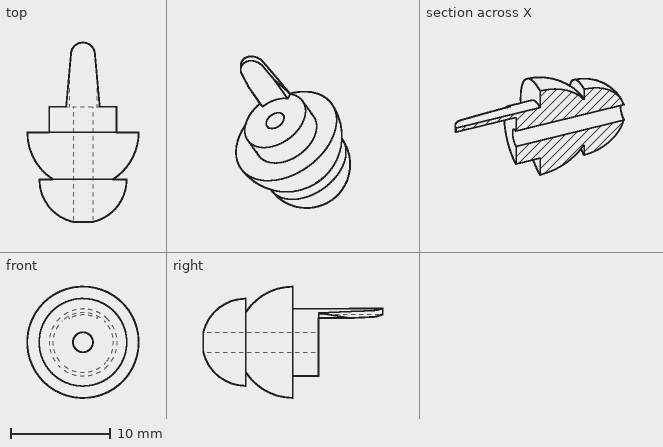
import cadquery as cq
import math

total_length = 18.06
large_radius = 5.62
small_radius = 4.4
dome_spacing = 4.73
bore_radius = 1.0
stem_radius = 3.4
stem_length = 2.58
tab_inner_radius = 2.8
tab_sector_angle = 60.0
tab_tip_half_width = 1.21
tab_tip_height = 1.12

nose_y = -total_length / 2
small_rim_y = nose_y + math.sqrt(small_radius**2 - bore_radius**2)
large_rim_y = small_rim_y + dome_spacing
stem_end_y = large_rim_y + stem_length
tip_y = total_length / 2

half_sector = math.radians(tab_sector_angle / 2)
tab_root_half_width = stem_radius * math.sin(half_sector)


def dome(radius, rim_y):
    """Hemisphere bulging toward -Y from a flat rim."""
    profile = (
        cq.Workplane("XY")
        .moveTo(0, rim_y)
        .lineTo(radius, rim_y)
        .radiusArc((0, rim_y - radius), radius)
        .close()
    )
    return profile.revolve(360, (0, 0, 0), (0, 1, 0))


def cylinder(radius, start_y, end_y):
    """Cylinder about the Y axis."""
    return cq.Workplane("XZ", origin=(0, start_y, 0)).circle(radius).extrude(start_y - end_y)


def tab():
    """Tapered, round-ended strip cut from the upper wall of a tube."""
    tube = cylinder(stem_radius, large_rim_y, tip_y).cut(
        cylinder(tab_inner_radius, large_rim_y, tip_y)
    )
    flank_end_y = tip_y - tab_tip_height
    outline = (
        cq.Workplane("XY")
        .moveTo(-tab_root_half_width, large_rim_y)
        .lineTo(-tab_root_half_width, stem_end_y)
        .lineTo(-tab_tip_half_width, flank_end_y)
        .threePointArc((0, tip_y), (tab_tip_half_width, flank_end_y))
        .lineTo(tab_root_half_width, stem_end_y)
        .lineTo(tab_root_half_width, large_rim_y)
        .close()
        .extrude(stem_radius)
    )
    wedge_height = 2 * stem_radius
    wedge_half_width = wedge_height * math.tan(half_sector)
    wedge = (
        cq.Workplane("XZ", origin=(0, large_rim_y, 0))
        .moveTo(0, 0)
        .lineTo(-wedge_half_width, wedge_height)
        .lineTo(wedge_half_width, wedge_height)
        .close()
        .extrude(large_rim_y - tip_y)
    )
    return tube.intersect(wedge).intersect(outline)


body = dome(small_radius, small_rim_y).union(dome(large_radius, large_rim_y))
stem = cylinder(stem_radius, large_rim_y, stem_end_y)
bore = cylinder(bore_radius, nose_y - small_radius, stem_end_y)
result = body.union(stem).union(tab()).cut(bore)